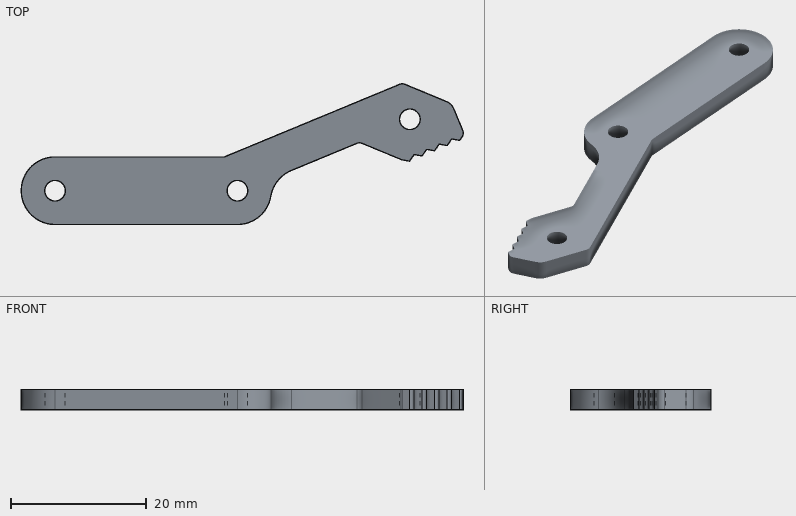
import cadquery as cq
import math

thickness = 3.0
hole_diameter = 3.0

bar_radius = 5.0
bar_hole_spacing = 26.87

arm_angle = 22.5
arm_length = 27.5
arm_top = 5.35
arm_bottom = -0.3
neck_radius = 5.0

tooth_count = 5
tooth_pitch = 2.0
tooth_height = 0.65
head_end = 6.58
head_bottom = -5.05
head_corner_radius = 1.0
shoulder_radius = 2.0
end_slant_sum = 6.35

teeth_start = head_end - tooth_count * tooth_pitch
knee = teeth_start + head_bottom - arm_bottom
apex = end_slant_sum - arm_top
shoulder = end_slant_sum - head_end

cos_arm = math.cos(math.radians(arm_angle))
sin_arm = math.sin(math.radians(arm_angle))
head_hole = (bar_hole_spacing + arm_length * cos_arm, arm_length * sin_arm)


def arm_point(u, v):
    """Convert arm coordinates, measured from the head hole, to plate coordinates."""
    return (
        head_hole[0] + u * cos_arm - v * sin_arm,
        head_hole[1] + u * sin_arm + v * cos_arm,
    )


def round_corner(plate, corner, radius):
    """Round the upright edge that stands on the given outline corner."""
    edge = cq.selectors.NearestToPointSelector((*corner, thickness / 2))
    return plate.edges("|Z").edges(edge).fillet(radius)


def make_bar():
    """Straight bar with a half round at each end."""
    length = bar_hole_spacing + 2 * bar_radius
    return (
        cq.Workplane("XY")
        .center(bar_hole_spacing / 2, 0)
        .slot2D(length, 2 * bar_radius)
        .extrude(thickness)
    )


def make_arm():
    """Arm and head, with pointed teeth and rounded corners."""
    top_start = (arm_length * sin_arm + arm_top * cos_arm - bar_radius) / -sin_arm
    tooth_outline = [(teeth_start, head_bottom)]
    for index in range(tooth_count):
        valley = teeth_start + index * tooth_pitch
        tip = (valley + tooth_pitch / 2, head_bottom - tooth_height)
        tooth_outline += [tip, (valley + tooth_pitch, head_bottom)]

    rounded_corners = [(apex, arm_top), (knee, arm_bottom), tooth_outline[0], tooth_outline[-1]]
    outline = [(-arm_length, arm_bottom), (knee, arm_bottom)]
    outline += tooth_outline
    outline += [(head_end, shoulder), (apex, arm_top), (top_start, arm_top)]
    arm = cq.Workplane("XY").polyline([arm_point(*p) for p in outline]).close().extrude(thickness)
    for corner in rounded_corners:
        arm = round_corner(arm, arm_point(*corner), head_corner_radius)
    return round_corner(arm, arm_point(head_end, shoulder), shoulder_radius)


def add_neck(plate):
    """Round the inner corner between the arm's lower edge and the bar's end."""
    corner_u = math.sqrt(bar_radius**2 - arm_bottom**2) - arm_length
    return round_corner(plate, arm_point(corner_u, arm_bottom), neck_radius)


def cut_holes(plate):
    """Cut the two bar holes and the head hole through the plate."""
    centres = [(0, 0), (bar_hole_spacing, 0), head_hole]
    holes = cq.Workplane("XY").pushPoints(centres).circle(hole_diameter / 2).extrude(thickness)
    return plate.cut(holes)


result = cut_holes(add_neck(make_bar().union(make_arm())))